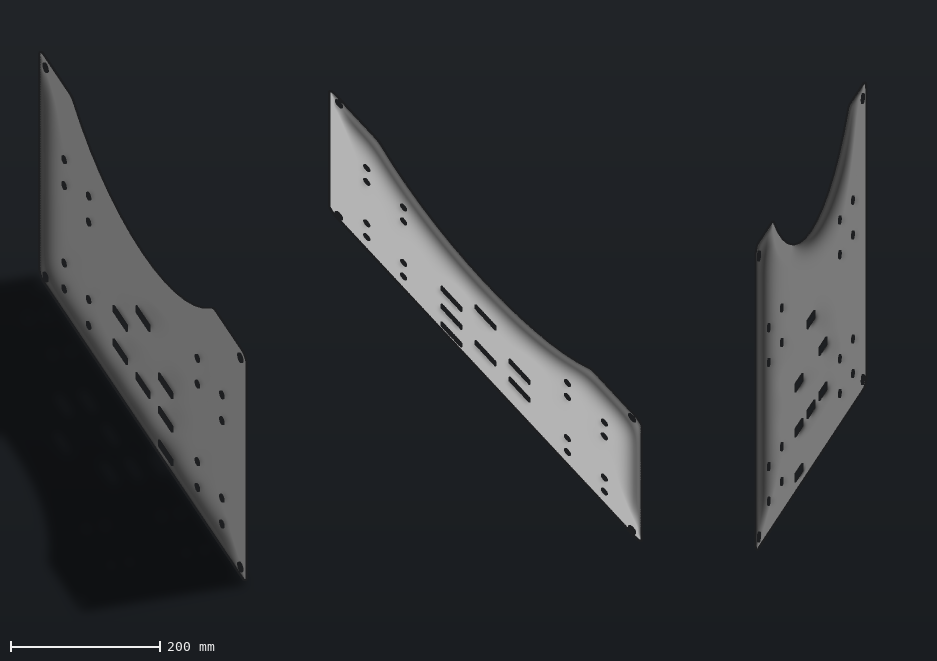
import cadquery as cq

width = 640.0
height = 440.0
thickness = 1.0
corner_radius = 15.0

notch_radius = 292.5
notch_depth = 97.0
notch_edge_radius = 16.5

corner_hole_diameter = 13.0
corner_hole_side_inset = 20.0
corner_hole_top_inset = 20.5
corner_hole_bottom_inset = 15.5

small_hole_diameter = 10.0
group_center_x = 205.5
upper_group_z = 50.0
group_drop = 200.0
group_hole_pitch_x = 75.5
group_hole_pitch_z = 50.0

slot_length = 41.0
slot_height = 10.0
slot_pitch_x = 70.0
slot_pitch_z = 64.5
top_slot_z = -5.0
slot_grid_places = [(0, 0), (-1, 1), (1, 1), (-1, 2), (0, 2), (1, 2), (1, 3)]


def make_plate():
    plate = cq.Workplane("XZ").rect(width, height).extrude(thickness / 2, both=True)
    plate = plate.edges("|Y").fillet(corner_radius)
    notch_center_z = height / 2 - notch_depth + notch_radius
    notch = (
        cq.Workplane("XZ").center(0, notch_center_z).circle(notch_radius).extrude(thickness, both=True)
    )
    plate = plate.cut(notch)
    notch_half_width = (notch_radius**2 - (notch_radius - notch_depth) ** 2) ** 0.5
    for side in (-1, 1):
        notch_end = (side * notch_half_width, 0, height / 2)
        plate = plate.edges(cq.selectors.NearestToPointSelector(notch_end)).fillet(notch_edge_radius)
    return plate


def round_cutters(centers, diameter):
    return cq.Workplane("XZ").pushPoints(centers).circle(diameter / 2).extrude(thickness, both=True)


def corner_hole_centers():
    x = width / 2 - corner_hole_side_inset
    top_z = height / 2 - corner_hole_top_inset
    bottom_z = -height / 2 + corner_hole_bottom_inset
    return [(side * x, z) for side in (-1, 1) for z in (top_z, bottom_z)]


def small_hole_centers():
    centers = []
    for group_x in (-group_center_x, group_center_x):
        for group_z in (upper_group_z, upper_group_z - group_drop):
            for i in (-0.5, 0.5):
                for j in (-0.5, 0.5):
                    centers.append((group_x + i * group_hole_pitch_x, group_z + j * group_hole_pitch_z))
    return centers


def slot_cutters():
    centers = [
        (column * slot_pitch_x, top_slot_z - row * slot_pitch_z) for column, row in slot_grid_places
    ]
    return (
        cq.Workplane("XZ").pushPoints(centers).rect(slot_length, slot_height).extrude(thickness, both=True)
    )


result = (
    make_plate()
    .cut(round_cutters(corner_hole_centers(), corner_hole_diameter))
    .cut(round_cutters(small_hole_centers(), small_hole_diameter))
    .cut(slot_cutters())
)